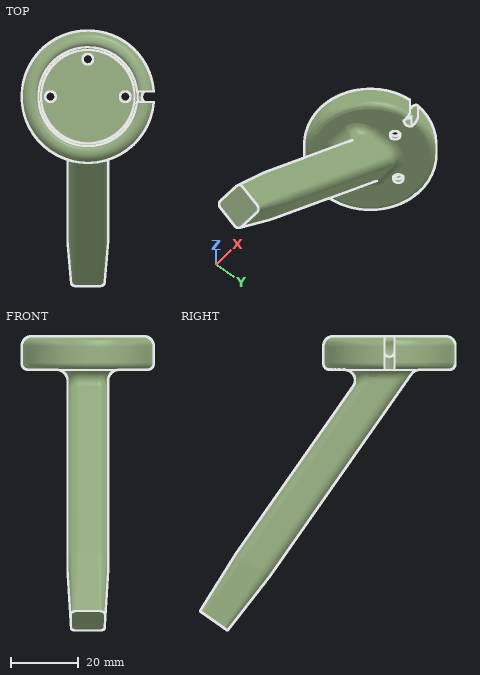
import cadquery as cq
import math

cup_radius = 19.5
cup_height = 10.0
floor_thickness = 2.0
rim_outer_fillet = 3.0
base_fillet = 2.0
pocket_radius = 14.55
pocket_floor_radius = 13.8
pocket_floor_fillet = 0.4
rim_inner_fillet = 1.5
rim_undercut_angle = 20

hole_diameter = 3.0
hole_circle_radius = 11.0
notch_width = 3.0
notch_centre_height = 5.4
slot_inner_end = 15.9
slot_end_bow = 0.6

handle_tilt = 35
handle_length = 90.1
handle_width = 12.0
handle_corner_radius = 3.0
tip_length = 20.0
tip_width = 10.0
tip_corner_radius = 1.5
neck_fillet = 3.0


def rounded_square(width, corner_radius):
    """Square outline with rounded corners."""
    return cq.Sketch().rect(width, width).vertices().fillet(corner_radius)


def handle_plane(distance):
    """Plane across the handle at a distance from the centre of the cup underside."""
    tilt = math.radians(handle_tilt)
    axis = cq.Vector(0, -math.sin(tilt), -math.cos(tilt))
    return cq.Plane(origin=axis * distance, xDir=(1, 0, 0), normal=axis)


def make_cup():
    """Solid disc with rounded outer edges."""
    disc = cq.Workplane("XY").circle(cup_radius).extrude(cup_height)
    return disc.faces(">Z").edges().fillet(rim_outer_fillet).faces("<Z").edges().fillet(base_fillet)


def make_bar():
    """Straight part of the handle, cut off level inside the cup floor."""
    bar_length = handle_length - tip_length
    overlap = handle_width
    section = rounded_square(handle_width, handle_corner_radius)
    bar = cq.Workplane(handle_plane(-overlap)).placeSketch(section).extrude(bar_length + overlap)
    above_floor = cq.Workplane("XY").workplane(offset=floor_thickness)
    return bar.cut(above_floor.rect(4 * cup_radius, 4 * cup_radius).extrude(2 * handle_width))


def make_tip():
    """Tapered end of the handle."""
    start = handle_plane(handle_length - tip_length)
    start_sketch = rounded_square(handle_width, handle_corner_radius)
    end_sketch = rounded_square(tip_width, tip_corner_radius)
    end_sketch = end_sketch.moved(cq.Location((0, 0, tip_length)))
    return cq.Workplane(start).placeSketch(start_sketch, end_sketch).loft(ruled=True)


def make_pocket():
    """Body of the pocket: a small fillet at the floor, a bowed wall and a rounded, undercut rim."""
    floor_edge = pocket_floor_radius - pocket_floor_fillet
    wall_start = floor_thickness + pocket_floor_fillet
    rim_start = pocket_radius + rim_inner_fillet
    fillet_centre_height = cup_height - rim_inner_fillet
    undercut = math.radians(rim_undercut_angle)
    wall_end_radius = rim_start - rim_inner_fillet * math.cos(undercut)
    wall_end_height = fillet_centre_height - rim_inner_fillet * math.sin(undercut)
    return (
        cq.Workplane("XZ")
        .moveTo(0, cup_height)
        .lineTo(rim_start, cup_height)
        .threePointArc((pocket_radius, fillet_centre_height), (wall_end_radius, wall_end_height))
        .tangentArcPoint((pocket_floor_radius, wall_start), relative=False)
        .radiusArc((floor_edge, floor_thickness), pocket_floor_fillet)
        .lineTo(0, floor_thickness)
        .close()
        .revolve(360, (0, 0), (0, 1))
    )


def make_floor_holes():
    """Three holes through the floor, at the +X, +Y and -X sides."""
    return (
        cq.Workplane("XY")
        .polarArray(hole_circle_radius, 0, 180, 3)
        .circle(hole_diameter / 2)
        .extrude(cup_height)
    )


def make_notch():
    """Round-bottomed notch through the rim that opens into a full-height slot outside."""
    half_width = notch_width / 2
    cut_length = 1.1 * cup_radius
    trough = cq.Workplane("YZ").center(0, notch_centre_height).circle(half_width).extrude(cut_length)
    opening = cq.Workplane("XY").workplane(offset=notch_centre_height)
    opening = opening.center(cut_length / 2, 0).rect(cut_length, notch_width).extrude(cup_height)
    slot_corner = slot_inner_end + slot_end_bow
    slot = (
        cq.Workplane("XY")
        .moveTo(slot_corner, -half_width)
        .lineTo(cut_length, -half_width)
        .lineTo(cut_length, half_width)
        .lineTo(slot_corner, half_width)
        .threePointArc((slot_inner_end, 0), (slot_corner, -half_width))
        .close()
        .extrude(cup_height)
    )
    return trough.union(opening).union(slot)


def neck_edges():
    """Selector for the edges where the handle meets the underside of the cup."""
    margin = 0.1
    low_corner = (-handle_width, -handle_width, -margin)
    high_corner = (handle_width, handle_width, margin)
    return cq.selectors.BoxSelector(low_corner, high_corner)


result = make_cup().union(make_bar())
result = result.edges(neck_edges()).fillet(neck_fillet)
result = result.union(make_tip())
result = result.cut(make_pocket()).cut(make_floor_holes()).cut(make_notch())